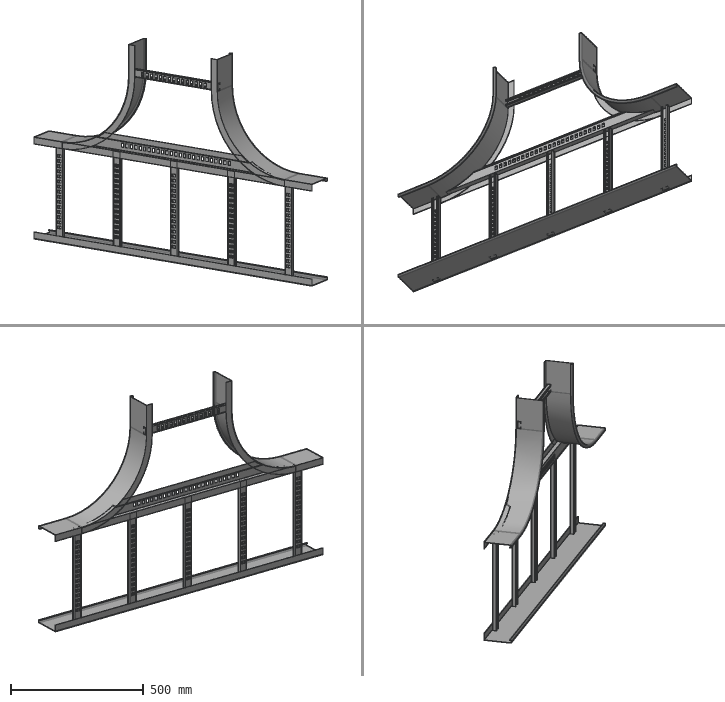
import cadquery as cq
SHEET = 2.0
CLEARANCE = 2.0
DEPTH = 110.0
TRAY_WIDTH = 400.0
STRAIGHT = 125.0
BEND_RADIUS = 300.0
RUN_LENGTH = TRAY_WIDTH + 2 * (BEND_RADIUS + STRAIGHT)
BRANCH_LEFT = STRAIGHT + BEND_RADIUS
BEND_CENTRE_Z = TRAY_WIDTH + BEND_RADIUS
TOP_Z = BEND_CENTRE_Z + STRAIGHT

FRONT_FLANGE = 28.0
BACK_FLANGE = 12.0
BACK_LIP = 9.0
BACK_BEND = 5.0

BAR_FRONT = SHEET
BAR_DEPTH = 20.0
BAR_WEB_HEIGHT = 40.0
BAR_TOP_BRIM = 24.0

RUNG_WIDTH = 30.0
RUNG_DEPTH = 15.0
RUNG_LIP = 8.0
RUNG_FRONT = BAR_FRONT + SHEET + CLEARANCE
RUNG_COUNT = 5
RUNG_END_OFFSET = STRAIGHT - RUNG_WIDTH / 2

SLOT_LENGTH = 15.0
SLOT_WIDTH = 10.0
SLOT_PITCH = 20.0
RUNG_SLOTS = 15
BAR_SLOTS = 25


def box(x0, x1, y0, y1, z0, z1):
    """Box between two opposite corners."""
    return cq.Workplane("XY").box(x1 - x0, y1 - y0, z1 - z0, centered=False).translate((x0, y0, z0))


def front_plane(y):
    """Workplane in X and Z at depth y; it extrudes towards -Y."""
    return cq.Workplane("XZ", origin=(0, y, 0))


def rail_section():
    """Side rail section drawn in Y and distance inwards from the outer face of the wall."""
    inner_bend = BACK_BEND - SHEET
    return (
        cq.Workplane("YZ")
        .moveTo(0, 0)
        .lineTo(DEPTH - BACK_BEND, 0)
        .radiusArc((DEPTH, BACK_BEND), -BACK_BEND)
        .lineTo(DEPTH, BACK_FLANGE - BACK_BEND)
        .radiusArc((DEPTH - BACK_BEND, BACK_FLANGE), -BACK_BEND)
        .lineTo(DEPTH - BACK_LIP, BACK_FLANGE)
        .lineTo(DEPTH - BACK_LIP, BACK_FLANGE - SHEET)
        .lineTo(DEPTH - BACK_BEND, BACK_FLANGE - SHEET)
        .radiusArc((DEPTH - SHEET, BACK_FLANGE - BACK_BEND), inner_bend)
        .lineTo(DEPTH - SHEET, BACK_BEND)
        .radiusArc((DEPTH - BACK_BEND, SHEET), inner_bend)
        .lineTo(SHEET, SHEET)
        .lineTo(SHEET, FRONT_FLANGE)
        .lineTo(0, FRONT_FLANGE)
        .close()
    )


def arc_middle(radius):
    """Middle point of the left bend's arc of the given radius."""
    reach = radius / 2**0.5
    return STRAIGHT + reach, BEND_CENTRE_Z - reach


def curved_band(near, far, y0, y1):
    """Strip along the left curved rail between two distances inwards from its outer face."""
    near_radius = BEND_RADIUS + near
    far_radius = BEND_RADIUS + far
    return (
        front_plane(y1)
        .moveTo(0, TRAY_WIDTH - near)
        .lineTo(STRAIGHT, TRAY_WIDTH - near)
        .threePointArc(arc_middle(near_radius), (BRANCH_LEFT + near, BEND_CENTRE_Z))
        .lineTo(BRANCH_LEFT + near, TOP_Z)
        .lineTo(BRANCH_LEFT + far, TOP_Z)
        .lineTo(BRANCH_LEFT + far, BEND_CENTRE_Z)
        .threePointArc(arc_middle(far_radius), (STRAIGHT, TRAY_WIDTH - far))
        .lineTo(0, TRAY_WIDTH - far)
        .close()
        .extrude(y1 - y0)
    )


def straight_rail():
    """Bottom side rail, flanges pointing up."""
    return rail_section().extrude(RUN_LENGTH)


def curved_rail():
    """Left side rail: the same section turned over and swept round the bend into the branch."""
    path = (
        front_plane(0)
        .moveTo(0, TRAY_WIDTH)
        .lineTo(STRAIGHT, TRAY_WIDTH)
        .threePointArc(arc_middle(BEND_RADIUS), (BRANCH_LEFT, BEND_CENTRE_Z))
        .lineTo(BRANCH_LEFT, TOP_Z)
    )
    section = rail_section().wire().val().mirror("XY").translate(cq.Vector(0, 0, TRAY_WIDTH))
    return cq.Workplane("YZ").newObject([section]).toPending().sweep(path)


def mirrored(body):
    """Copy of a body mirrored about the middle of the run."""
    return body.mirror("YZ", (RUN_LENGTH / 2, 0, 0))


def rung(length):
    """Slotted lipped channel along Z, centred on the origin in X and Z, open towards the back."""
    half = RUNG_WIDTH / 2
    back = RUNG_FRONT + RUNG_DEPTH
    end = length / 2
    opening = half - RUNG_LIP
    channel = (
        box(-half, half, RUNG_FRONT, back, -end, end)
        .cut(box(SHEET - half, half - SHEET, RUNG_FRONT + SHEET, back - SHEET, -end, end))
        .cut(box(-opening, opening, back - SHEET, back, -end, end))
    )
    slots = (
        front_plane(RUNG_FRONT + SHEET)
        .rarray(12, SLOT_PITCH, 1, RUNG_SLOTS)
        .rect(SLOT_LENGTH, SLOT_WIDTH)
        .extrude(SHEET)
    )
    return channel.cut(slots)


def mouth_bar():
    """Slotted hat section, its brims behind the front flanges and its ends trimmed to the curved walls."""
    left = STRAIGHT
    right = RUN_LENGTH - STRAIGHT
    back = BAR_FRONT + BAR_DEPTH
    web_top = TRAY_WIDTH + BAR_WEB_HEIGHT
    hat = (
        cq.Workplane("YZ", origin=(left, 0, 0))
        .moveTo(BAR_FRONT, TRAY_WIDTH - FRONT_FLANGE)
        .lineTo(BAR_FRONT, TRAY_WIDTH)
        .lineTo(back - SHEET, TRAY_WIDTH)
        .lineTo(back - SHEET, web_top)
        .lineTo(BAR_FRONT, web_top)
        .lineTo(BAR_FRONT, web_top + BAR_TOP_BRIM)
        .lineTo(BAR_FRONT + SHEET, web_top + BAR_TOP_BRIM)
        .lineTo(BAR_FRONT + SHEET, web_top + SHEET)
        .lineTo(back, web_top + SHEET)
        .lineTo(back, TRAY_WIDTH - SHEET)
        .lineTo(BAR_FRONT + SHEET, TRAY_WIDTH - SHEET)
        .lineTo(BAR_FRONT + SHEET, TRAY_WIDTH - FRONT_FLANGE)
        .close()
        .extrude(right - left)
    )
    outside = curved_band(-BEND_RADIUS / 2, SHEET + CLEARANCE, 0, back)
    slots = (
        front_plane(back)
        .center(RUN_LENGTH / 2, TRAY_WIDTH + BAR_WEB_HEIGHT / 2)
        .rarray(SLOT_PITCH, 12, BAR_SLOTS, 1)
        .rect(SLOT_WIDTH, SLOT_LENGTH)
        .extrude(SHEET)
    )
    return hat.cut(outside).cut(mirrored(outside)).cut(slots)


bottom_rail = straight_rail()
left_rail = curved_rail()
right_rail = mirrored(left_rail)
bar = mouth_bar()

rung_spacing = (RUN_LENGTH - 2 * RUNG_END_OFFSET) / (RUNG_COUNT - 1)
run_rungs = [
    rung(TRAY_WIDTH - 2 * (SHEET + CLEARANCE)).translate((RUNG_END_OFFSET + i * rung_spacing, 0, TRAY_WIDTH / 2))
    for i in range(RUNG_COUNT)
]
branch_rung = (
    rung(TRAY_WIDTH - 2 * SHEET)
    .rotate((0, 0, 0), (0, 1, 0), 90)
    .translate((RUN_LENGTH / 2, 0, BEND_CENTRE_Z + RUNG_WIDTH / 2))
)

result = cq.Compound.makeCompound(
    [
        bottom_rail.val(),
        left_rail.val(),
        right_rail.val(),
        bar.val(),
        branch_rung.val(),
        *[body.val() for body in run_rungs],
    ]
)